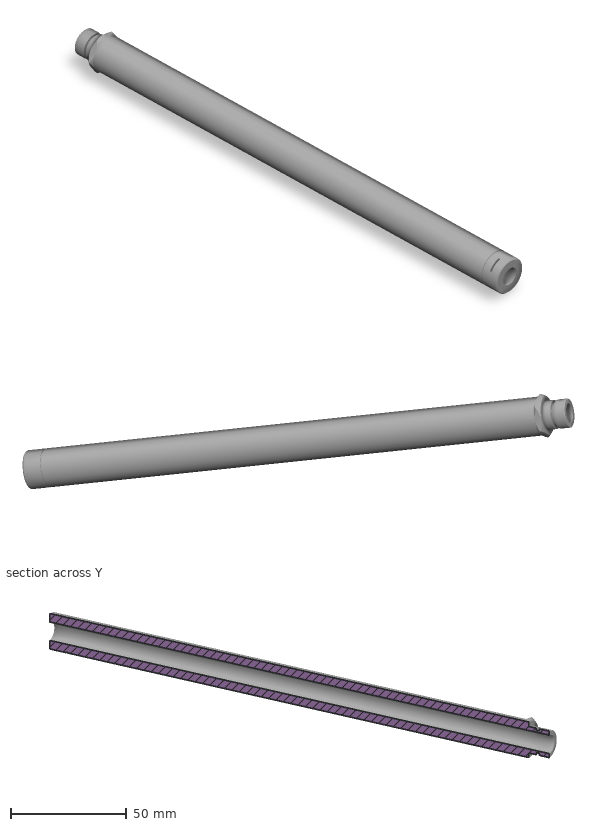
import cadquery as cq
import math

total_length = 250.0
body_diameter = 17.0
bore_diameter = 8.5
end_chamfer = 0.5

spigot_diameter = 12.8
spigot_length = 10.2
spigot_chamfer = 0.2
groove_start = 5.2
groove_end = 6.5
groove_depth = 1.0
lip_bevel_length = 1.0
lip_bevel_depth = 0.2

collar_length = 3.0
collar_flats = body_diameter
collar_corners = collar_flats / math.cos(math.pi / 6)
collar_bevel_angle = 45.0

cap_length = 8.2
joint_width = 0.8
joint_depth = 0.2

slot_center_from_end = 4.5
slot_width = 1.0
slot_depth = 1.2
slot_start_angle = 12.0
slot_end_angle = 60.0


def cylinder(start, length, diameter):
    return cq.Workplane("YZ", origin=(start, 0, 0)).circle(diameter / 2).extrude(length)


def ring(start, width, outer_diameter, depth):
    """Ring that cuts a groove of the given depth into a cylinder."""
    outer = cylinder(start, width, outer_diameter)
    return outer.cut(cylinder(start, width, outer_diameter - 2 * depth))


def make_spigot():
    radius = spigot_diameter / 2
    floor_radius = radius - groove_depth
    return (
        cq.Workplane("XY")
        .moveTo(0, 0)
        .lineTo(0, radius - spigot_chamfer)
        .lineTo(spigot_chamfer, radius)
        .lineTo(groove_start - lip_bevel_length, radius)
        .lineTo(groove_start, radius - lip_bevel_depth)
        .lineTo(groove_start, floor_radius)
        .lineTo(groove_end, floor_radius)
        .lineTo(groove_end, radius)
        .lineTo(spigot_length, radius)
        .lineTo(spigot_length, 0)
        .close()
        .revolve(360, (0, 0, 0), (1, 0, 0))
    )


def make_collar():
    """Hexagon whose corners are bevelled conically on both faces."""
    hexagon = (
        cq.Workplane("YZ", origin=(spigot_length, 0, 0))
        .polygon(6, collar_corners)
        .extrude(collar_length)
    )
    corner_radius = collar_corners / 2
    face_radius = collar_flats / 2
    bevel = (corner_radius - face_radius) * math.tan(math.radians(collar_bevel_angle))
    collar_end = spigot_length + collar_length
    envelope = (
        cq.Workplane("XY")
        .moveTo(spigot_length, 0)
        .lineTo(spigot_length, face_radius)
        .lineTo(spigot_length + bevel, corner_radius)
        .lineTo(collar_end - bevel, corner_radius)
        .lineTo(collar_end, face_radius)
        .lineTo(collar_end, 0)
        .close()
        .revolve(360, (0, 0, 0), (1, 0, 0))
    )
    return hexagon.intersect(envelope)


def make_body():
    start = spigot_length + collar_length
    body = cylinder(start, total_length - start, body_diameter).faces(">X").chamfer(end_chamfer)
    joint_start = total_length - cap_length - joint_width
    return body.cut(ring(joint_start, joint_width, body_diameter, joint_depth))


def make_slot():
    """Arc-shaped cutter for the slot in the cap."""
    slot_start = total_length - slot_center_from_end - slot_width / 2
    reach = body_diameter

    def ray(angle):
        tilt = math.radians(angle)
        return (-reach * math.sin(tilt), reach * math.cos(tilt))

    sector = (
        cq.Workplane("YZ", origin=(slot_start, 0, 0))
        .polyline([(0, 0), ray(slot_start_angle), ray(slot_end_angle)])
        .close()
        .extrude(slot_width)
    )
    return ring(slot_start, slot_width, body_diameter, slot_depth).intersect(sector)


bore = cylinder(0, total_length, bore_diameter)
result = make_spigot().union(make_collar()).union(make_body()).cut(make_slot()).cut(bore)